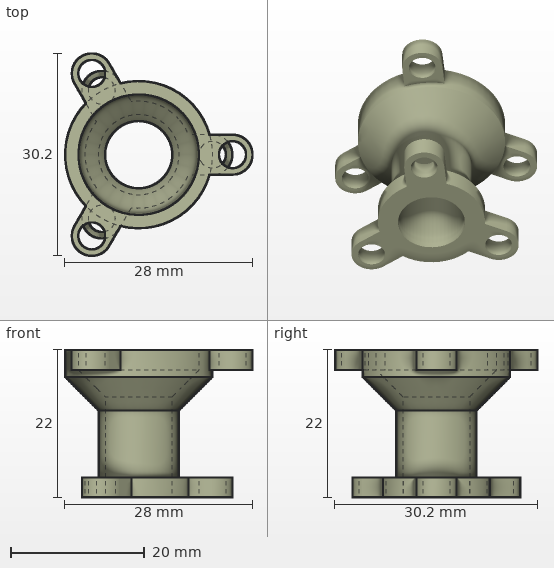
import cadquery as cq

total_height = 22.0
flange_thickness = 3.0

tube_diameter = 12.0
funnel_diameter = 22.0
funnel_rim_height = 4.0
outer_cone_height = (funnel_diameter - tube_diameter) / 2

bore_diameter = 10.0
mouth_diameter = 18.0
mouth_depth = 3.0
inner_cone_height = (mouth_diameter - bore_diameter) / 2

base_disc_diameter = 16.0
lug_count = 3
lug_width = 6.0
lug_hole_diameter = 4.0
lug_overhang = lug_width / 2
base_lug_radius = base_disc_diameter / 2 + lug_overhang
top_lug_radius = funnel_diameter / 2 + lug_overhang

rim_bottom = total_height - funnel_rim_height
tube_top = rim_bottom - outer_cone_height
mouth_floor = total_height - mouth_depth
bore_top = mouth_floor - inner_cone_height


def make_flange(disc_diameter, lug_radius, bottom):
    """Disc with round-ended, drilled lugs; the first lug points along +X."""
    plane = cq.Workplane("XY").workplane(offset=bottom)
    flange = plane.circle(disc_diameter / 2).extrude(flange_thickness)
    lug = (
        plane.center(lug_radius / 2, 0).rect(lug_radius, lug_width).extrude(flange_thickness)
        .union(plane.center(lug_radius, 0).circle(lug_width / 2).extrude(flange_thickness))
        .cut(plane.center(lug_radius, 0).circle(lug_hole_diameter / 2).extrude(flange_thickness))
    )
    for index in range(lug_count):
        angle = index * 360 / lug_count
        flange = flange.union(lug.rotate((0, 0, 0), (0, 0, 1), angle))
    return flange


def make_revolved(lower_diameter, upper_diameter, cone_bottom, cone_top):
    """Solid of full height: a lower cylinder, a cone and an upper cylinder."""
    profile = [
        (0, 0),
        (lower_diameter / 2, 0),
        (lower_diameter / 2, cone_bottom),
        (upper_diameter / 2, cone_top),
        (upper_diameter / 2, total_height),
        (0, total_height),
    ]
    return cq.Workplane("XZ").polyline(profile).close().revolve(360, (0, 0, 0), (0, 1, 0))


funnel = make_revolved(tube_diameter, funnel_diameter, tube_top, rim_bottom)
passage = make_revolved(bore_diameter, mouth_diameter, bore_top, mouth_floor)
base_flange = make_flange(base_disc_diameter, base_lug_radius, 0)
top_flange = make_flange(funnel_diameter, top_lug_radius, total_height - flange_thickness)

result = funnel.union(base_flange).union(top_flange).cut(passage)